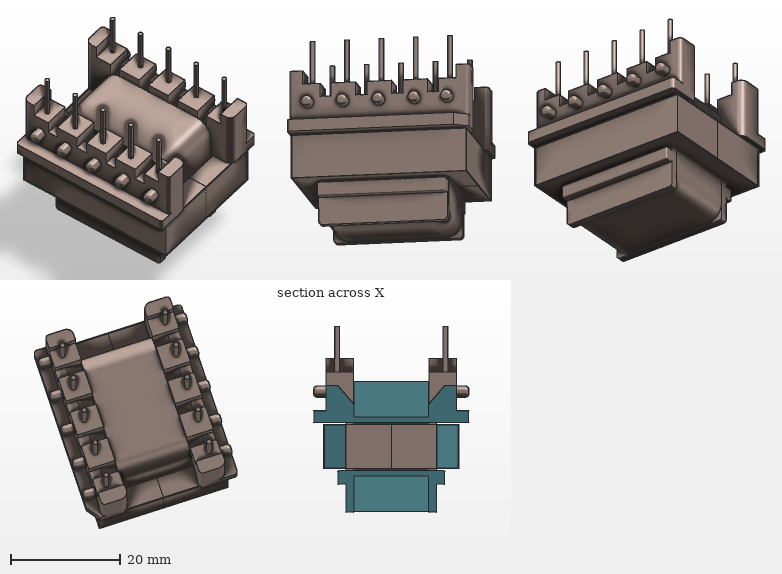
import cadquery as cq


core_half_x = 16.17
core_half_y = 12.22
core_height = 8.0
core_leg_width = 3.85
centre_leg_width = 8.0
tape_thickness = 0.17

winding_half_width = 11.9
winding_half_length = 6.88
winding_radius = 3.25

tube_hole_x = 8.58
tube_hole_z = 8.7
tube_wall = 1.02
tube_outer_x = tube_hole_x + 2 * tube_wall
tube_outer_z = tube_hole_z + 2 * tube_wall
flange_half_width = 11.98
flange_outer_y = 8.3
overall_height = 34.05
flange_bottom_z = -12.05
flange_corner_radius = 0.68

ridge_outer_y = 9.8
ridge_top_z = -4.4
ridge_bottom_z = -6.95
ridge_edge_radius = 0.2

block_half_width = 16.765
block_outer_y = 11.98
block_bottom_z = tube_hole_z / 2
post_top_z = 16.15
post_inner_x = 14.25
pedestal_top_z = 13.65
post_small_radius = 0.7
post_large_radius = 1.35

lip_outer_y = 14.21
lip_top_z = 6.57
lip_corner_radius = 0.68
lip_cut_x = 2.55
lip_cut_y = 1.87

notch_floor_z = 11.2
notch_slope_start_y = 9.8
notch_slope_end_z = 7.8
outer_notch_x = 9.97
outer_notch_width = 2.05
inner_notch_x = 3.35
inner_notch_width = 2.18

pin_count = 5
pin_pitch = 6.4
pin_y = 9.9
pin_diameter = 0.9
pin_top_z = flange_bottom_z + overall_height
stub_positions_x = [-12.73, -6.67, 0, 6.67, 13.25]
stub_z = 10.05
stub_diameter = 2.08
stub_end_radius = 0.65


def box(x_range, y_range, z_range):
    """Box between two limits along each axis."""
    size = [high - low for low, high in (x_range, y_range, z_range)]
    corner = (x_range[0], y_range[0], z_range[0])
    return cq.Workplane("XY").box(*size, centered=False).translate(corner)


def centred_box(half_x, y_range, z_range):
    """Box that is symmetric about the plane X = 0."""
    return box((-half_x, half_x), y_range, z_range)


def make_core_half(side):
    """E-shaped core half on the +Y (side = 1) or -Y (side = -1) side of the joint."""
    half = (
        cq.Workplane("XY")
        .box(2 * core_half_x, core_half_y, core_height)
        .translate((0, core_half_y / 2, 0))
    )
    window_outer_x = core_half_x - core_leg_width
    window_width = window_outer_x - centre_leg_width / 2
    window_x = window_outer_x - window_width / 2
    windows = (
        cq.Workplane("XY")
        .pushPoints([(-window_x, 0), (window_x, 0)])
        .box(window_width, 2 * flange_outer_y, core_height)
    )
    half = half.cut(windows)
    if side < 0:
        half = half.mirror("XZ")
    return half


def make_tape():
    """Thin band around the four outer sides of the core."""
    core_block = cq.Workplane("XY").box(2 * core_half_x, 2 * core_half_y, core_height)
    return (
        cq.Workplane("XY")
        .box(
            2 * (core_half_x + tape_thickness),
            2 * (core_half_y + tape_thickness),
            core_height,
        )
        .cut(core_block)
    )


def make_axial_bar(width, height, length):
    """Rectangular bar along the winding axis."""
    return cq.Workplane("XY").box(width, length, height)


def make_winding():
    """Coil with rounded long edges that fills the space between the flanges."""
    length = 2 * winding_half_length
    coil = make_axial_bar(2 * winding_half_width, 2 * winding_half_width, length)
    coil = coil.edges("|Y").fillet(winding_radius)
    return coil.cut(make_axial_bar(tube_outer_x, tube_outer_z, length))


def make_flange():
    """End plate at -Y with the ridge on its outer face."""
    plate = centred_box(
        flange_half_width,
        (-flange_outer_y, -winding_half_length),
        (flange_bottom_z, block_bottom_z),
    )
    plate = plate.edges("|Y and <Z").fillet(flange_corner_radius)
    ridge = centred_box(
        flange_half_width,
        (-ridge_outer_y, -flange_outer_y),
        (ridge_bottom_z, ridge_top_z),
    )
    ridge = ridge.edges("|Y or <Y").fillet(ridge_edge_radius)
    return plate.union(ridge)


def make_block(left_outer, left_inner, right_outer, right_inner):
    """Terminal block at -Y, given the radii of its four upright corners."""
    block = centred_box(
        block_half_width,
        (-block_outer_y, -winding_half_length),
        (block_bottom_z, post_top_z),
    )
    block = block.edges("|Z and <X and <Y").fillet(left_outer)
    block = block.edges("|Z and <X and >Y").fillet(left_inner)
    block = block.edges("|Z and >X and <Y").fillet(right_outer)
    block = block.edges("|Z and >X and >Y").fillet(right_inner)
    between_posts = centred_box(
        post_inner_x,
        (-block_outer_y, -winding_half_length),
        (pedestal_top_z, post_top_z),
    )
    return block.cut(between_posts).cut(make_notches())


def make_notches():
    """Cutters for the four wire notches of the block at -Y."""
    notches = cq.Workplane("YZ")
    for x, width in ((outer_notch_x, outer_notch_width), (inner_notch_x, inner_notch_width)):
        for centre_x in (-x, x):
            notch = (
                cq.Workplane("YZ", origin=(centre_x, 0, 0))
                .moveTo(-block_outer_y, post_top_z)
                .lineTo(-block_outer_y, notch_floor_z)
                .lineTo(-notch_slope_start_y, notch_floor_z)
                .lineTo(-winding_half_length, notch_slope_end_z)
                .lineTo(-winding_half_length, post_top_z)
                .close()
                .extrude(width / 2, both=True)
            )
            notches = notches.add(notch)
    return notches.combine()


def make_lip(rounded_edges):
    """Lip at -Y with the selected edges rounded, reaching into the block behind it."""
    middle_y = -(block_outer_y + winding_half_length) / 2
    lip = centred_box(
        block_half_width,
        (-lip_outer_y, middle_y),
        (block_bottom_z, lip_top_z),
    )
    return lip.edges(rounded_edges).fillet(lip_corner_radius)


def make_pins_and_stubs():
    """Upright pins and sideways stubs of the block at -Y."""
    pins = (
        cq.Workplane("XY", origin=(0, -pin_y, lip_top_z))
        .rarray(pin_pitch, 0.35, pin_count, 1)
        .circle(pin_diameter / 2)
        .extrude(pin_top_z - lip_top_z)
    )
    stub_length = lip_outer_y - pin_y
    stub = (
        cq.Workplane("XZ", origin=(0, -pin_y, stub_z))
        .circle(stub_diameter / 2)
        .extrude(stub_length)
        .faces("<Y")
        .edges()
        .fillet(stub_end_radius)
    )
    for x in stub_positions_x:
        pins = pins.union(stub.translate((x, 0, 0)))
    return pins


def make_bobbin():
    """Bobbin moulded in one piece with its terminal blocks, pins and stubs."""
    hole = make_axial_bar(tube_hole_x, tube_hole_z, 2 * flange_outer_y)
    bobbin = make_axial_bar(tube_outer_x, tube_outer_z, 2 * winding_half_length)
    small = post_small_radius
    large = post_large_radius
    front_lip = make_lip("|Z and <Y")
    front_block = make_block(large, small, small, large)
    back_lip = make_lip("|Z and <Y and >X").mirror("XZ")
    back_lip = back_lip.cut(make_lip_bevel())
    back_block = make_block(small, large, small, large).mirror("XZ")
    bobbin = bobbin.union(front_lip).union(front_block)
    bobbin = bobbin.union(back_lip).union(back_block)
    for end_part in (make_flange(), make_pins_and_stubs()):
        bobbin = bobbin.union(end_part).union(end_part.mirror("XZ"))
    return bobbin.cut(hole)


def make_lip_bevel():
    """Cutter for the bevel that marks the -X, +Y corner of the lip."""
    return (
        cq.Workplane("XY", origin=(0, 0, block_bottom_z))
        .moveTo(-block_half_width, lip_outer_y)
        .lineTo(-block_half_width, lip_outer_y - lip_cut_y)
        .lineTo(-block_half_width + lip_cut_x, lip_outer_y)
        .close()
        .extrude(lip_top_z - block_bottom_z)
    )


core_halves = [make_core_half(side) for side in (-1, 1)]
tape = make_tape()
winding = make_winding()
bobbin = make_bobbin()

result = cq.Compound.makeCompound(
    [half.val() for half in core_halves] + [tape.val(), winding.val(), bobbin.val()]
)